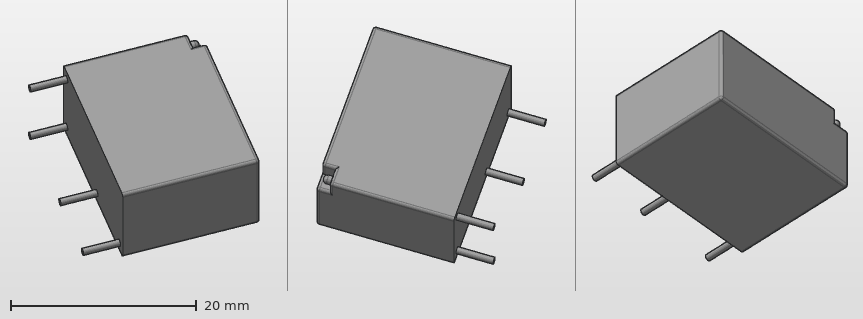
import cadquery as cq

BODY_X = 20.0
BODY_Y = 15.6
BODY_Z = 10.0
EDGE_RADIUS = 0.35

NOTCH_X = 2.0
NOTCH_Y = 1.5
NOTCH_Z = 2.0

NUB_DIAMETER = 1.0
NUB_INSET = 1.0
NUB_STRAIGHT = 0.5

PIN_DIAMETER = 0.8
PIN_LENGTH = 4.2
PIN_GRID = 2.54
PIN_SPAN_X = 7 * PIN_GRID
PIN_SPAN_Z = 3 * PIN_GRID
MIDDLE_PIN_OFFSET = 4 * PIN_GRID

LEFT = -BODY_X / 2
TOP = BODY_Z / 2
NOTCH_WALL_Y = BODY_Y - NOTCH_Y


def box_from_corner(size_x, size_y, size_z, corner):
    """Box whose lowest X, Y and Z corner is at the given point."""
    return cq.Workplane("XY").box(size_x, size_y, size_z, centered=False).translate(corner)


def make_body():
    """Notched block, rounded on its outer edges except around the pin face."""
    block = box_from_corner(BODY_X, BODY_Y, BODY_Z, (LEFT, 0, -TOP))
    notch = box_from_corner(NOTCH_X, NOTCH_Y, NOTCH_Z, (LEFT, NOTCH_WALL_Y, TOP - NOTCH_Z))

    pin_face_edges = cq.selectors.BoxSelector(
        (LEFT - EDGE_RADIUS, -EDGE_RADIUS, -TOP - EDGE_RADIUS),
        (-LEFT + EDGE_RADIUS, EDGE_RADIUS, TOP + EDGE_RADIUS),
    )
    inside_edges = cq.selectors.BoxSelector(
        (LEFT + EDGE_RADIUS, NOTCH_WALL_Y - EDGE_RADIUS, TOP - NOTCH_Z - EDGE_RADIUS),
        (LEFT + NOTCH_X + EDGE_RADIUS, BODY_Y - EDGE_RADIUS, TOP - EDGE_RADIUS),
    )
    rounded_edges = cq.selectors.SubtractSelector(
        cq.selectors.InverseSelector(pin_face_edges),
        inside_edges,
    )
    return block.cut(notch).edges(rounded_edges).fillet(EDGE_RADIUS)


def make_nub():
    """Cylinder along +Y ending in a hemisphere."""
    radius = NUB_DIAMETER / 2
    nub_x = LEFT + NUB_INSET
    nub_z = TOP - NUB_INSET
    dome_y = NOTCH_WALL_Y + NUB_STRAIGHT
    root_y = NOTCH_WALL_Y - radius
    shaft = (
        cq.Workplane("XZ", origin=(nub_x, root_y, nub_z))
        .circle(radius)
        .extrude(root_y - dome_y)
    )
    dome = cq.Workplane("XY").sphere(radius).translate((nub_x, dome_y, nub_z))
    return shaft.union(dome)


def make_pins():
    """Four round pins pointing along -Y."""
    left_x = -PIN_SPAN_X / 2
    low_z = -PIN_SPAN_Z / 2
    centres = [
        (left_x, -low_z),
        (left_x, low_z),
        (left_x + MIDDLE_PIN_OFFSET, low_z),
        (-left_x, low_z),
    ]
    return cq.Workplane("XZ").pushPoints(centres).circle(PIN_DIAMETER / 2).extrude(PIN_LENGTH)


result = make_body().union(make_nub()).union(make_pins())